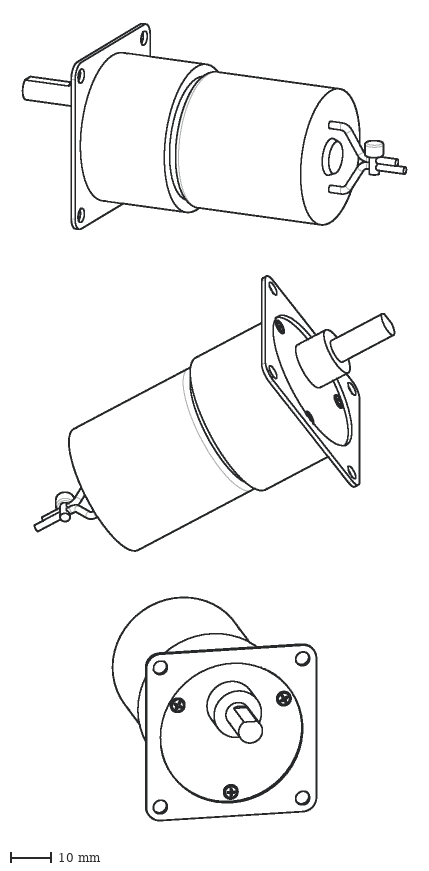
import cadquery as cq
import math

SHAFT_LENGTH = 15.0
FLAT_LENGTH = 12.0
BOSS_LENGTH = 7.2
PLATE_THICKNESS = 1.1
GEARBOX_END = 24.1
MOTOR_START = 26.0
MOTOR_END = 60.75
END_CAP_LENGTH = 1.5
OVERALL_LENGTH = 103.42

SHAFT_OFFSET = 7.0
SHAFT_DIAMETER = 6.0
FLAT_DEPTH = 0.5
BOSS_DIAMETER = 12.0

PLATE_SIZE = 43.0
HOLE_SPACING = 36.0
HOLE_DIAMETER = 3.5
PLATE_CORNER_RADIUS = (PLATE_SIZE - HOLE_SPACING) / 2
OPENING_DIAMETER = 36.0

GEARBOX_DIAMETER = 37.0
NECK_DIAMETER = 31.0
MOTOR_DIAMETER = 34.0
MOTOR_FILLET = 1.2
END_CAP_BASE_DIAMETER = 9.2
END_CAP_TIP_DIAMETER = 8.0

SCREW_COUNT = 3
SCREW_CIRCLE_RADIUS = 15.5
SCREW_RIM_DIAMETER = 3.6
SCREW_RIM_HEIGHT = 0.3
SCREW_DOME_DIAMETER = 2.9
SCREW_DOME_HEIGHT = 0.5
CROSS_LENGTH = 2.0
CROSS_WIDTH = 0.4
CROSS_DEPTH = 0.4

WIRE_DIAMETER = 1.8
WIRE_EXIT_OFFSET = 8.25
WIRE_PAIR_OFFSET = 0.88
WIRE_EXIT_LENGTH = 3.1
WIRE_ROOT_DEPTH = 1.0
WIRE_BEND_RADIUS = 2.3
WIRE_BEND_ANGLE = math.radians(58)
WIRE_TIP = OVERALL_LENGTH - SHAFT_LENGTH - BOSS_LENGTH
WIRE_END_STAGGER = 2.2

CLIP_DISTANCE = 12.05
CLIP_X = MOTOR_END + CLIP_DISTANCE
CLIP_HEAD_DIAMETER = 4.6
CLIP_HEAD_BOTTOM = 1.9
CLIP_HEAD_TOP = 5.2
CLIP_HEAD_FILLET = 0.4
CLIP_STEM_DIAMETER = 2.5
CLIP_STEM_BOTTOM = -2.75


def rod(diameter, start, end, z=0.0):
    """Cylinder along X between two stations."""
    return cq.Workplane("YZ", origin=(start, 0, z)).circle(diameter / 2).extrude(end - start)


def make_plate():
    plate = (
        cq.Workplane("YZ")
        .rect(PLATE_SIZE, PLATE_SIZE)
        .extrude(PLATE_THICKNESS)
        .edges("|X")
        .fillet(PLATE_CORNER_RADIUS)
    )
    holes = (
        cq.Workplane("YZ")
        .rect(HOLE_SPACING, HOLE_SPACING, forConstruction=True)
        .vertices()
        .circle(HOLE_DIAMETER / 2)
        .extrude(PLATE_THICKNESS)
    )
    return plate.cut(holes).cut(rod(OPENING_DIAMETER, 0, PLATE_THICKNESS))


def make_shaft():
    boss_start = -BOSS_LENGTH
    tip = boss_start - SHAFT_LENGTH
    boss = rod(BOSS_DIAMETER, boss_start, PLATE_THICKNESS, z=SHAFT_OFFSET)
    shaft = rod(SHAFT_DIAMETER, tip, boss_start, z=SHAFT_OFFSET)
    flat = cq.Workplane("XY").box(FLAT_LENGTH, SHAFT_DIAMETER, FLAT_DEPTH, centered=(False, True, False))
    flat_bottom = SHAFT_OFFSET + SHAFT_DIAMETER / 2 - FLAT_DEPTH
    return boss.union(shaft.cut(flat.translate((tip, 0, flat_bottom))))


def make_housing():
    gearbox = rod(GEARBOX_DIAMETER, PLATE_THICKNESS, GEARBOX_END)
    neck = rod(NECK_DIAMETER, GEARBOX_END, MOTOR_START)
    motor = rod(MOTOR_DIAMETER, MOTOR_START, MOTOR_END).faces("<X").edges().fillet(MOTOR_FILLET)
    end_cap = (
        cq.Workplane("YZ", origin=(MOTOR_END, 0, 0))
        .circle(END_CAP_BASE_DIAMETER / 2)
        .workplane(offset=END_CAP_LENGTH)
        .circle(END_CAP_TIP_DIAMETER / 2)
        .loft()
    )
    return gearbox.union(neck).union(motor).union(end_cap)


def make_screw():
    """Head of the lowest screw: a rim, a shallow dome and a cross slot."""
    dome_radius = SCREW_DOME_DIAMETER / 2
    top = SCREW_RIM_HEIGHT + SCREW_DOME_HEIGHT
    sphere_radius = (dome_radius**2 + SCREW_DOME_HEIGHT**2) / (2 * SCREW_DOME_HEIGHT)
    half_angle = math.asin(dome_radius / sphere_radius) / 2
    arc_middle = (
        sphere_radius * math.sin(half_angle),
        top - sphere_radius * (1 - math.cos(half_angle)),
    )
    head = (
        cq.Workplane("XZ")
        .lineTo(SCREW_RIM_DIAMETER / 2, 0)
        .lineTo(SCREW_RIM_DIAMETER / 2, SCREW_RIM_HEIGHT)
        .lineTo(dome_radius, SCREW_RIM_HEIGHT)
        .threePointArc(arc_middle, (0, top))
        .close()
        .revolve(360, (0, 0), (0, 1))
    )
    slot_plane = cq.Workplane("XY", origin=(0, 0, top - CROSS_DEPTH))
    head = head.cut(slot_plane.rect(CROSS_LENGTH, CROSS_WIDTH).extrude(CROSS_DEPTH))
    head = head.cut(slot_plane.rect(CROSS_WIDTH, CROSS_LENGTH).extrude(CROSS_DEPTH))
    facing_out = head.rotate((0, 0, 0), (0, 1, 0), -90)
    return facing_out.translate((PLATE_THICKNESS, 0, -SCREW_CIRCLE_RADIUS))


def make_wire(side, end):
    """Lead wire above (side = 1) or below (side = -1) the motor axis."""
    bend_run = WIRE_BEND_RADIUS * math.sin(WIRE_BEND_ANGLE)
    bend_drop = WIRE_BEND_RADIUS * (1 - math.cos(WIRE_BEND_ANGLE))
    slope_drop = WIRE_EXIT_OFFSET - WIRE_PAIR_OFFSET - 2 * bend_drop
    slope_run = slope_drop / math.tan(WIRE_BEND_ANGLE)

    start_x = MOTOR_END - WIRE_ROOT_DEPTH
    bend_x = MOTOR_END + WIRE_EXIT_LENGTH
    slope_x = bend_x + bend_run
    return_x = slope_x + slope_run
    pair_x = return_x + bend_run
    slope_z = WIRE_EXIT_OFFSET - bend_drop
    return_z = WIRE_PAIR_OFFSET + bend_drop

    path = (
        cq.Workplane("XZ")
        .moveTo(start_x, side * WIRE_EXIT_OFFSET)
        .lineTo(bend_x, side * WIRE_EXIT_OFFSET)
        .tangentArcPoint((slope_x, side * slope_z), relative=False)
        .lineTo(return_x, side * return_z)
        .tangentArcPoint((pair_x, side * WIRE_PAIR_OFFSET), relative=False)
        .lineTo(end, side * WIRE_PAIR_OFFSET)
    )
    section = cq.Workplane("YZ", origin=(start_x, 0, side * WIRE_EXIT_OFFSET))
    return section.circle(WIRE_DIAMETER / 2).sweep(path)


def make_clip():
    head = (
        cq.Workplane("XY", origin=(CLIP_X, 0, CLIP_HEAD_BOTTOM))
        .circle(CLIP_HEAD_DIAMETER / 2)
        .extrude(CLIP_HEAD_TOP - CLIP_HEAD_BOTTOM)
        .faces("<Z or >Z")
        .edges()
        .fillet(CLIP_HEAD_FILLET)
    )
    stem = (
        cq.Workplane("XY", origin=(CLIP_X, 0, CLIP_STEM_BOTTOM))
        .circle(CLIP_STEM_DIAMETER / 2)
        .extrude(CLIP_HEAD_BOTTOM - CLIP_STEM_BOTTOM)
    )
    return head.union(stem)


result = make_housing().union(make_plate()).union(make_shaft())

screw = make_screw()
for index in range(SCREW_COUNT):
    angle = index * 360 / SCREW_COUNT
    result = result.union(screw.rotate((0, 0, 0), (1, 0, 0), angle))

result = result.union(make_wire(1, WIRE_TIP - WIRE_END_STAGGER))
result = result.union(make_wire(-1, WIRE_TIP))
result = result.union(make_clip())